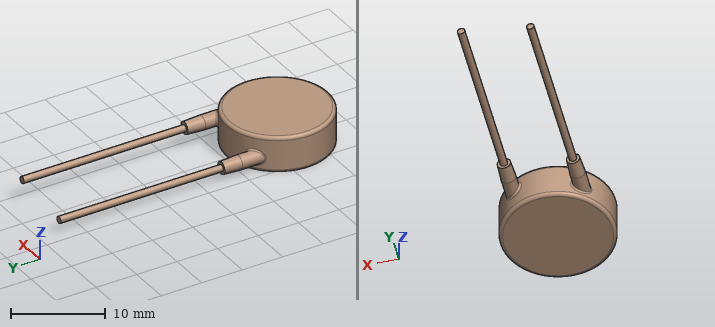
import cadquery as cq

disc_diameter = 12.5
disc_height = 4.4
edge_radius = 0.4

overall_length = 35.5
wire_diameter = 0.8
wire_length = 20.05
sleeve_diameter = 1.67
sleeve_tip_diameter = 1.45
taper_length = 2.13
lead_spacing = 7.5
lead_height_offset = 0.5
root_fillet = 0.18

disc_radius = disc_diameter / 2
wire_end_y = overall_length - disc_radius
sleeve_tip_y = wire_end_y - wire_length
taper_start_y = sleeve_tip_y - taper_length
sleeve_root_y = disc_radius / 2


def make_disc():
    """Round body with both rims filleted."""
    disc = cq.Workplane("XY", origin=(0, 0, -disc_height / 2)).circle(disc_radius).extrude(disc_height)
    return disc.faces("|Z").edges().fillet(edge_radius)


def make_lead(x, z):
    """Sleeve and wire along +Y, revolved from a half profile about their axis."""
    sleeve_radius = sleeve_diameter / 2
    wire_radius = wire_diameter / 2
    profile = (
        cq.Workplane("XY")
        .moveTo(0, sleeve_root_y)
        .lineTo(sleeve_radius, sleeve_root_y)
        .lineTo(sleeve_radius, taper_start_y)
        .lineTo(sleeve_tip_diameter / 2, sleeve_tip_y)
        .lineTo(wire_radius, sleeve_tip_y)
        .lineTo(wire_radius, wire_end_y)
        .lineTo(0, wire_end_y)
        .close()
    )
    lead = profile.revolve(360, (0, 0, 0), (0, 1, 0))
    return lead.translate((x, 0, z))


def blend_sleeve_roots(part):
    """Fillet the curves where the sleeves enter the disc wall."""
    half_span = (lead_spacing + sleeve_diameter) / 2 + root_fillet
    low_y = (disc_radius**2 - half_span**2) ** 0.5
    root_zone = cq.selectors.BoxSelector(
        (-half_span, low_y, edge_radius - disc_height / 2),
        (half_span, disc_radius, disc_height / 2 - edge_radius),
        boundingbox=True,
    )
    return part.edges(root_zone).fillet(root_fillet)


body = make_disc()
for side in (-1, 1):
    body = body.union(make_lead(side * lead_spacing / 2, side * lead_height_offset))

result = blend_sleeve_roots(body)